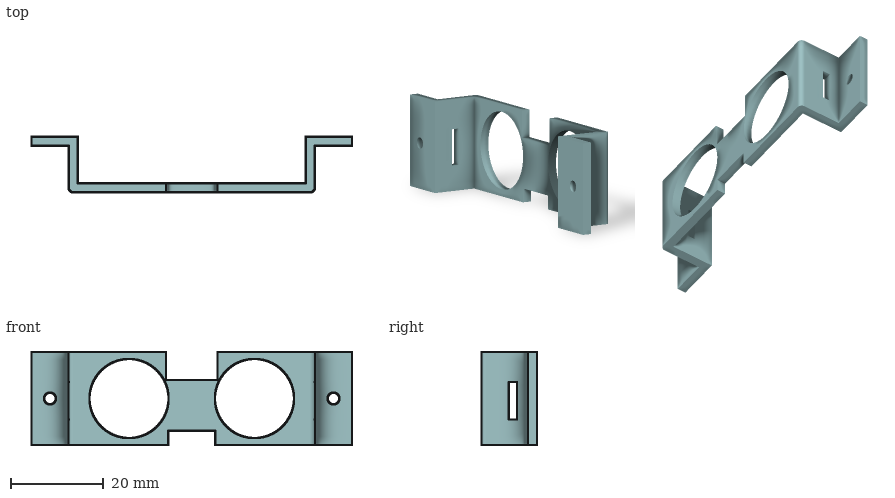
import cadquery as cq

length = 69.0
depth = 12.0
height = 20.0
thickness = 2.0
face_width = 53.0
bend_radius = 1.05

window_diameter = 17.0
window_spacing = 27.0

top_notch_width = 11.0
top_notch_depth = 6.0
bottom_notch_width = 10.0
bottom_notch_depth = 3.05

screw_diameter = 2.5
screw_spacing = 61.0

slot_width = 1.7
slot_height = 8.0
slot_back_offset = 5.25
slot_drop = 0.5


def make_hat_section():
    """Extrude the bent strip along Z and round the two outer front bends."""
    outer = face_width / 2
    inner = outer - thickness
    half_profile = [
        (outer, 0),
        (outer, depth - thickness),
        (length / 2, depth - thickness),
        (length / 2, depth),
        (inner, depth),
        (inner, thickness),
    ]
    mirrored = [(-x, y) for x, y in reversed(half_profile)]
    strip = (
        cq.Workplane("XY", origin=(0, 0, -height / 2))
        .polyline(half_profile + mirrored)
        .close()
        .extrude(height)
    )
    return strip.faces("<Y").edges("|Z").fillet(bend_radius)


def make_round_cutters(diameter, spacing, start_y):
    """Two cylinders along Y, one plate thickness long."""
    return (
        cq.Workplane("XZ", origin=(0, start_y, 0))
        .pushPoints([(-spacing / 2, 0), (spacing / 2, 0)])
        .circle(diameter / 2)
        .extrude(-thickness)
    )


def make_notch(width, notch_depth, side):
    """Block through the front plate at the top (side=1) or bottom (side=-1)."""
    center_z = side * (height - notch_depth) / 2
    return cq.Workplane("XY").box(width, thickness, notch_depth).translate((0, thickness / 2, center_z))


def make_slot_cutter():
    """One bar that passes through both side walls."""
    slot_y = depth - slot_back_offset
    return cq.Workplane("XY").box(face_width, slot_width, slot_height).translate((0, slot_y, -slot_drop))


result = (
    make_hat_section()
    .cut(make_round_cutters(window_diameter, window_spacing, 0))
    .cut(make_round_cutters(screw_diameter, screw_spacing, depth - thickness))
    .cut(make_notch(top_notch_width, top_notch_depth, 1))
    .cut(make_notch(bottom_notch_width, bottom_notch_depth, -1))
    .cut(make_slot_cutter())
)